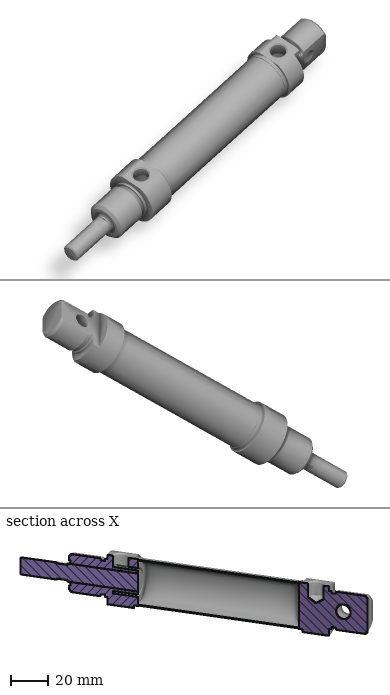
import cadquery as cq
import math

overall_length = 200.0

head_diameter = 30.0
head_length = 15.5
front_head_start = 50.0
rear_head_end = 178.0
collar_diameter = 27.0
front_collar_length = 2.5
rear_collar_length = 2.0
port_flat_height = collar_diameter / 2

thread_diameter = 22.0
relief_diameter = 19.5
nose_start = 28.0
nose_chamfer = 1.5
nose_relief_start = 46.5
nose_relief_end = 48.5
relief_bevel_length = 0.5
tail_chamfer = 1.5
tail_relief_start = 179.2
tail_relief_end = 182.0

recess_diameter = 14.0
recess_mouth_diameter = 14.8
recess_depth = 0.8
lip_root_diameter = 11.5
lip_tip_diameter = 10.5
lip_projection = 1.0

sleeve_diameter = 14.0
passage_diameter = 16.2

tongue_thickness = 16.0
tongue_start = 174.0
pivot_hole_diameter = 8.0
pivot_from_end = 14.0

port_diameter = 8.5
port_mouth_diameter = 10.0
port_chamfer = (port_mouth_diameter - port_diameter) / 2
port_depth = 8.0
drill_point_angle = 118.0

tube_diameter = 26.5
tube_bore = 25.0

rod_diameter = 10.0
rod_chamfer = 0.8
wrench_flat_start = 21.5
wrench_flat_width = 9.0

lip_tip_y = nose_start - lip_projection
front_head_end = front_head_start + head_length
front_collar_end = front_head_end + front_collar_length
rear_head_start = rear_head_end - head_length
rear_collar_start = rear_head_start - rear_collar_length


def cylinder_along_y(diameter, start, end):
    return cq.Workplane("XZ", origin=(0, start, 0)).circle(diameter / 2).extrude(start - end)


def revolve_about_y(profile):
    """Revolve a closed (radius, Y) outline about the Y axis."""
    return cq.Workplane("XY").polyline(profile).close().revolve(360, (0, 0, 0), (0, 1, 0))


def cut_port_flat(head, start, end):
    """Plane off the top of a head between two stations."""
    waste = cq.Workplane("XY").box(head_diameter, end - start, head_diameter, centered=(True, False, False))
    return head.cut(waste.translate((0, start, port_flat_height)))


def port_drill(port_y):
    """Chamfered mouth, straight bore and conical drill point, standing on the port flat."""
    bore_radius = port_diameter / 2
    point_length = bore_radius / math.tan(math.radians(drill_point_angle / 2))
    profile = [
        (0, 0),
        (port_mouth_diameter / 2, 0),
        (bore_radius, -port_chamfer),
        (bore_radius, -port_depth),
        (0, -port_depth - point_length),
    ]
    drill = cq.Workplane("XZ").polyline(profile).close().revolve(360, (0, 0, 0), (0, 1, 0))
    return drill.translate((0, port_y, port_flat_height))


def add_wiper_lip(head):
    """Sink a chamfered recess into the nose and stand a tapered lip on its floor."""
    recess_floor = nose_start + recess_depth
    mouth_chamfer = (recess_mouth_diameter - recess_diameter) / 2
    recess = revolve_about_y([
        (0, nose_start),
        (recess_mouth_diameter / 2, nose_start),
        (recess_diameter / 2, nose_start + mouth_chamfer),
        (recess_diameter / 2, recess_floor),
        (0, recess_floor),
    ])
    lip = revolve_about_y([
        (0, lip_tip_y),
        (lip_tip_diameter / 2, lip_tip_y),
        (lip_tip_diameter / 2, nose_start),
        (lip_root_diameter / 2, recess_floor),
        (0, recess_floor),
    ])
    return head.cut(recess).union(lip)


def air_passage(start, end):
    return cylinder_along_y(passage_diameter, start, end).cut(cylinder_along_y(sleeve_diameter, start, end))


def make_front_head():
    thread_radius = thread_diameter / 2
    relief_radius = relief_diameter / 2
    head = revolve_about_y([
        (0, nose_start),
        (thread_radius - nose_chamfer, nose_start),
        (thread_radius, nose_start + nose_chamfer),
        (thread_radius, nose_relief_start - relief_bevel_length),
        (relief_radius, nose_relief_start),
        (relief_radius, nose_relief_end),
        (thread_radius, nose_relief_end),
        (thread_radius, front_head_start),
        (head_diameter / 2, front_head_start),
        (head_diameter / 2, front_head_end),
        (collar_diameter / 2, front_head_end),
        (collar_diameter / 2, front_collar_end),
        (0, front_collar_end),
    ])
    head = cut_port_flat(head, front_head_start, front_head_end)
    head = add_wiper_lip(head)
    port_y = (front_head_start + front_head_end) / 2
    head = head.cut(port_drill(port_y).cut(cylinder_along_y(sleeve_diameter, nose_start, front_collar_end)))
    head = head.cut(air_passage(port_y - port_diameter / 2, front_collar_end))
    return head.cut(cylinder_along_y(rod_diameter, 0, front_collar_end))


def make_rear_head():
    thread_radius = thread_diameter / 2
    relief_radius = relief_diameter / 2
    head = revolve_about_y([
        (0, rear_collar_start),
        (collar_diameter / 2, rear_collar_start),
        (collar_diameter / 2, rear_head_start),
        (head_diameter / 2, rear_head_start),
        (head_diameter / 2, rear_head_end),
        (thread_radius, rear_head_end),
        (thread_radius, tail_relief_start),
        (relief_radius, tail_relief_start),
        (relief_radius, tail_relief_end - relief_bevel_length),
        (thread_radius, tail_relief_end),
        (thread_radius, overall_length - tail_chamfer),
        (thread_radius - tail_chamfer, overall_length),
        (0, overall_length),
    ])
    head = cut_port_flat(head, rear_head_start, rear_head_end)
    tongue_length = overall_length - tongue_start
    side_waste = cq.Workplane("XY").box(
        head_diameter, tongue_length, head_diameter, centered=(False, False, True)
    ).translate((tongue_thickness / 2, tongue_start, 0))
    head = head.cut(side_waste).cut(side_waste.mirror("YZ"))
    pivot_hole = (
        cq.Workplane("YZ")
        .center(overall_length - pivot_from_end, 0)
        .circle(pivot_hole_diameter / 2)
        .extrude(head_diameter / 2, both=True)
    )
    return head.cut(pivot_hole).cut(port_drill((rear_head_start + rear_head_end) / 2))


def make_tube():
    bore = cylinder_along_y(tube_bore, front_collar_end, rear_collar_start)
    return cylinder_along_y(tube_diameter, front_collar_end, rear_collar_start).cut(bore)


def make_rod():
    rod = cylinder_along_y(rod_diameter, 0, front_collar_end).faces("<Y").chamfer(rod_chamfer)
    flat_waste = cq.Workplane("XY").box(
        rod_diameter, lip_tip_y - wrench_flat_start, rod_diameter, centered=(True, False, False)
    ).translate((0, wrench_flat_start, wrench_flat_width / 2))
    return rod.cut(flat_waste).cut(flat_waste.mirror("XY"))


front_head = make_front_head()
rear_head = make_rear_head()
tube = make_tube()
rod = make_rod()

result = cq.Compound.makeCompound([front_head.val(), rear_head.val(), tube.val(), rod.val()])